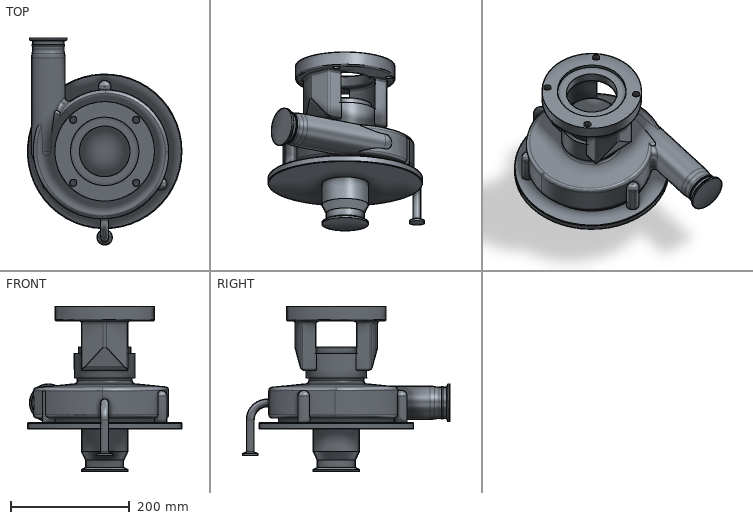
import cadquery as cq
import math


plate_radius = 130.0
plate_thickness = 10.8
plate_chamfer = 1.0
seat_radius = 97.5

nozzle_radius = 39.0
nozzle_throat_radius = 32.0
nozzle_cone_top_z = -37.5
nozzle_cone_end_z = -52.3
nozzle_ferrule_z = -64.5
nozzle_rim_z = -68.0
nozzle_end_z = -71.0

casing_bottom_z = 18.5
casing_edge_fillet = 6.3
casing_cone_slope = 0.1
spiral_radius = 100.8
spiral_step = 5.2
spiral_centre_x = 1.7
spiral_centre_y = 2.8
spiral_closing_angle = 140

neck_radius = 46.5
neck_fillet = 5.5
neck_foot_z = 76.7
hub_radius = 51.3
hub_bottom_z = 85.8
hub_top_z = 127.5
cap_radius = 44.3
cap_top_z = 138.5
cap_fillet = 1.7

flange_radius = 83.7
flange_top_z = 206.5
flange_thickness = 24.5
flange_bottom_z = flange_top_z - flange_thickness
flange_fillet = 2.8
flange_bore_radius = 42.5
bore_edge_fillet = 2.8
recess_radius = 57.5
recess_depth = 5.5
bolt_hole_radius = 6.0
bolt_hole_offset = 53.0

leg_half_width = 39.0
leg_ridge_y = 69.7
leg_ridge_half_width = 2.8
leg_corner_y = 59.0
leg_inner_radius = 52.0
leg_bottom_z = 98.5
leg_slant_top_z = 137.7
leg_slant_bottom_y = 59.0
leg_edge_fillet = 2.8
leg_foot_round = 9.0
leg_root_fillet = 3.5

pipe_x = -95.0
pipe_z = 44.3
pipe_radius = 28.2
pipe_neck_radius = 26.5
swage_start_y = 157.3
swage_end_y = 172.5
bead_y = 177.0
bead_width = 2.5
bead_radius = 27.5
pipe_ferrule_y = 185.5
pipe_rim_y = 187.5
pipe_ferrule_radius = 31.7
pipe_end_y = 191.0
pipe_blend_radius = 7.0

post_radius = 10.5
post_circle_radius = 108.8
post_top_z = 65.0
post_dome_fillet = 9.0
flat_post_top_z = 63.8

drain_radius = 6.5
drain_z = 44.0
drain_bend_radius = 28.5
drain_y = -144.7
drain_ferrule_radius = 13.0
drain_ferrule_top_z = -38.5
drain_rim_z = -41.0
drain_end_z = -44.5


def cylinder(radius, bottom_z, top_z):
    return cq.Workplane("XY").workplane(offset=bottom_z).circle(radius).extrude(top_z - bottom_z)


def revolved(profile):
    """Solid of revolution about Z from (radius, z) points."""
    return cq.Workplane("XZ").polyline(profile).close().revolve(360, (0, 0, 0), (0, 1, 0))


def polar(centre, radius, degrees):
    angle = math.radians(degrees)
    return (centre[0] + radius * math.cos(angle), centre[1] + radius * math.sin(angle))


def nearest(point):
    return cq.selectors.NearestToPointSelector(point)


def make_base():
    """Base plate with the casing seat above it and the suction nozzle below it."""
    plate = cylinder(plate_radius, 0, plate_thickness).edges().chamfer(plate_chamfer)
    seat = cylinder(seat_radius, plate_thickness, casing_bottom_z)
    nozzle_profile = [
        (0, plate_thickness),
        (nozzle_radius, plate_thickness),
        (nozzle_radius, nozzle_cone_top_z),
        (nozzle_throat_radius, nozzle_cone_end_z),
        (nozzle_throat_radius, nozzle_ferrule_z),
        (nozzle_radius, nozzle_rim_z),
        (nozzle_radius, nozzle_end_z),
        (0, nozzle_end_z),
    ]
    return plate.union(seat).union(revolved(nozzle_profile))


def make_casing():
    """Spiral of tangent arcs, each one step larger in radius, under a shallow cone."""
    centre = [spiral_centre_x, spiral_centre_y]
    radius = spiral_radius
    arc_ends = [(spiral_closing_angle, 90), (90, 0), (0, -90), (-90, spiral_closing_angle - 360)]
    centre_shifts = [(0, -1), (-1, 0), (0, 1), (0, 0)]
    outline = cq.Workplane("XY").workplane(offset=casing_bottom_z)
    outline = outline.moveTo(*polar(centre, radius, spiral_closing_angle))
    for (start, end), shift in zip(arc_ends, centre_shifts):
        middle = (start + end) / 2
        outline = outline.threePointArc(polar(centre, radius, middle), polar(centre, radius, end))
        centre = [centre[0] + shift[0] * spiral_step, centre[1] + shift[1] * spiral_step]
        radius += spiral_step
    block = outline.close().extrude(neck_foot_z - casing_bottom_z)

    cone_edge_z = neck_foot_z - (plate_radius - neck_radius) * casing_cone_slope
    cone_profile = [
        (0, 0),
        (plate_radius, 0),
        (plate_radius, cone_edge_z),
        (neck_radius, neck_foot_z),
        (0, neck_foot_z),
    ]
    casing = block.intersect(revolved(cone_profile))
    rim = cq.selectors.BoxSelector(
        (-plate_radius, -plate_radius, cone_edge_z),
        (plate_radius, plate_radius, neck_foot_z - casing_edge_fillet / 2),
        boundingbox=True,
    )
    casing = casing.faces("<Z").edges().fillet(casing_edge_fillet)
    return casing.edges(rim).fillet(casing_edge_fillet)


def make_hub():
    """Bearing hub on a neck that flares into the casing cone."""
    flare_radius = neck_radius + neck_fillet
    flare_z = neck_foot_z - neck_fillet * casing_cone_slope
    neck = (
        cq.Workplane("XZ")
        .moveTo(0, casing_bottom_z)
        .lineTo(flare_radius, casing_bottom_z)
        .lineTo(flare_radius, flare_z)
        .radiusArc((neck_radius, flare_z + neck_fillet), neck_fillet)
        .lineTo(neck_radius, hub_bottom_z)
        .lineTo(0, hub_bottom_z)
        .close()
        .revolve(360, (0, 0, 0), (0, 1, 0))
    )
    hub = cylinder(hub_radius, hub_bottom_z, hub_top_z)
    cap = cylinder(cap_radius, hub_top_z, cap_top_z).faces(">Z").edges().fillet(cap_fillet)
    return neck.union(hub).union(cap)


def make_legs():
    """Two upright legs with a roof-shaped outer side, sloped inwards at the foot."""
    plan = [
        (-leg_half_width, 0),
        (-leg_half_width, leg_corner_y),
        (-leg_ridge_half_width, leg_ridge_y),
        (leg_ridge_half_width, leg_ridge_y),
        (leg_half_width, leg_corner_y),
        (leg_half_width, 0),
    ]
    leg = cq.Workplane("XY").workplane(offset=leg_bottom_z).polyline(plan).close()
    leg = leg.extrude(flange_bottom_z - leg_bottom_z)
    outer_corners = cq.selectors.BoxSelector(
        (-flange_radius, leg_corner_y - 0.5, leg_bottom_z), (flange_radius, leg_corner_y + 0.5, flange_bottom_z)
    )
    bottom_rim = leg.faces("<Z").edges("not <Y")
    leg = leg.edges(outer_corners).add(bottom_rim).fillet(leg_edge_fillet)
    slant_angle = math.atan2(leg_slant_top_z - leg_bottom_z, leg_ridge_y - leg_slant_bottom_y)
    round_setback = leg_foot_round * math.tan(slant_angle / 2)
    round_end = (
        leg_slant_bottom_y + round_setback * math.cos(slant_angle),
        leg_bottom_z + round_setback * math.sin(slant_angle),
    )
    foot_wedge = (
        cq.Workplane("YZ")
        .moveTo(leg_slant_bottom_y - round_setback, leg_bottom_z)
        .radiusArc(round_end, -leg_foot_round)
        .lineTo(leg_ridge_y, leg_slant_top_z)
        .lineTo(2 * leg_ridge_y, leg_slant_top_z)
        .lineTo(2 * leg_ridge_y, leg_bottom_z)
        .close()
        .extrude(leg_half_width, both=True)
    )
    leg = leg.cut(foot_wedge)
    hollow = cylinder(leg_inner_radius, hub_top_z, flange_top_z)
    return leg.union(leg.mirror("XZ")).cut(hollow)


def make_yoke():
    """Motor flange on its legs, with the legs blended into the flange."""
    flange = cylinder(flange_radius, flange_bottom_z, flange_top_z).faces("<Z").edges().fillet(flange_fillet)
    yoke = flange.union(make_legs())
    leg_roots = cq.selectors.BoxSelector(
        (-leg_half_width - 0.5, -leg_ridge_y - 0.5, flange_bottom_z - 0.5),
        (leg_half_width + 0.5, leg_ridge_y + 0.5, flange_bottom_z + 0.5),
        boundingbox=True,
    )
    yoke = yoke.edges(leg_roots).fillet(leg_root_fillet)
    yoke = yoke.cut(cylinder(recess_radius, flange_top_z - recess_depth, flange_top_z))
    yoke = yoke.cut(cylinder(flange_bore_radius, flange_bottom_z, flange_top_z))
    yoke = yoke.edges(nearest((0, 0, flange_bottom_z))).fillet(bore_edge_fillet)
    bolt_hole = cylinder(bolt_hole_radius, flange_bottom_z, flange_top_z)
    for side_x in (-1, 1):
        for side_y in (-1, 1):
            yoke = yoke.cut(bolt_hole.translate((side_x * bolt_hole_offset, side_y * bolt_hole_offset, 0)))
    return yoke


def make_discharge_pipe():
    """Pipe with a spherical inner end, an S-curved reduction, a bead and a ferrule."""
    swage_length = swage_end_y - swage_start_y
    swage_drop = pipe_radius - pipe_neck_radius
    swage_radius = (swage_length**2 + swage_drop**2) / (4 * swage_drop)
    swage_middle = (pipe_radius - swage_drop / 2, swage_start_y + swage_length / 2)
    pipe = (
        cq.Workplane("XY")
        .moveTo(0, -pipe_radius)
        .radiusArc((pipe_radius, 0), -pipe_radius)
        .lineTo(pipe_radius, swage_start_y)
        .radiusArc(swage_middle, -swage_radius)
        .radiusArc((pipe_neck_radius, swage_end_y), swage_radius)
        .lineTo(pipe_neck_radius, bead_y)
        .lineTo(bead_radius, bead_y)
        .lineTo(bead_radius, bead_y + bead_width)
        .lineTo(pipe_neck_radius, bead_y + bead_width)
        .lineTo(pipe_neck_radius, pipe_ferrule_y)
        .lineTo(pipe_ferrule_radius, pipe_rim_y)
        .lineTo(pipe_ferrule_radius, pipe_end_y)
        .lineTo(0, pipe_end_y)
        .close()
        .revolve(360, (0, 0, 0), (0, 1, 0))
    )
    return pipe.translate((pipe_x, 0, pipe_z))


def add_posts(casing):
    """Posts half sunk in the casing wall; the one at the widest wall ends flat below the rim."""
    domed_post = cylinder(post_radius, plate_thickness, post_top_z).faces(">Z").edges().fillet(post_dome_fillet)
    flat_post = cylinder(post_radius, plate_thickness, flat_post_top_z)
    for angle, post in ((90, domed_post), (210, flat_post), (330, domed_post)):
        x, y = polar((0, 0), post_circle_radius, angle)
        casing = casing.union(post.translate((x, y, 0)))
    return casing


def make_volute():
    """Casing with its discharge pipe blended in and the posts around it."""
    volute = make_casing().union(make_discharge_pipe())
    tongue_seam = nearest((pipe_x + pipe_radius, spiral_radius * 0.7, pipe_z + casing_edge_fillet))
    wall_seam = nearest((pipe_x - pipe_radius, 0, pipe_z))
    top_seam = nearest((pipe_x, 0, pipe_z + pipe_radius))
    volute = volute.edges(tongue_seam + wall_seam + top_seam).fillet(pipe_blend_radius)
    return add_posts(volute)


def make_drain():
    """Tube that leaves the casing along -Y, bends down and ends in a small ferrule."""
    path = (
        cq.Workplane("YZ")
        .moveTo(-spiral_radius, drain_z)
        .lineTo(drain_y + drain_bend_radius, drain_z)
        .radiusArc((drain_y, drain_z - drain_bend_radius), -drain_bend_radius)
        .lineTo(drain_y, drain_end_z)
    )
    tube = cq.Workplane("XZ", origin=(0, -spiral_radius, drain_z)).circle(drain_radius).sweep(path)
    ferrule_profile = [
        (0, drain_ferrule_top_z),
        (drain_radius, drain_ferrule_top_z),
        (drain_ferrule_radius, drain_rim_z),
        (drain_ferrule_radius, drain_end_z),
        (0, drain_end_z),
    ]
    return tube.union(revolved(ferrule_profile).translate((0, drain_y, 0)))


result = make_base().union(make_volute()).union(make_hub()).union(make_yoke()).union(make_drain())